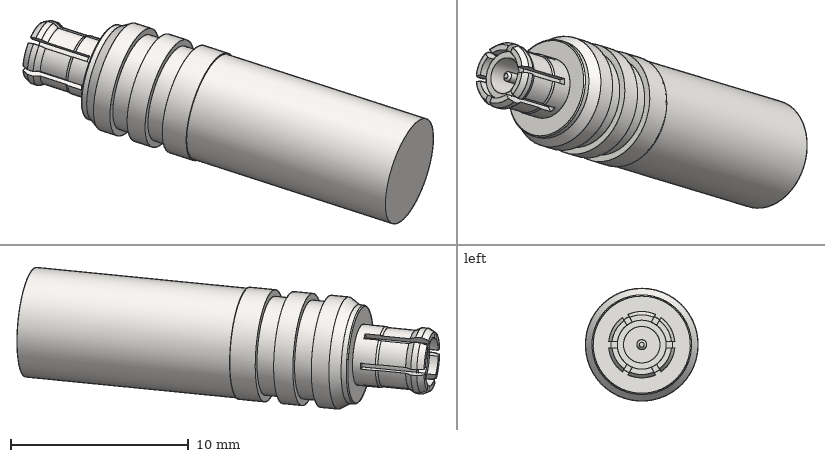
import cadquery as cq

LENGTH = 23.38
BODY_RADIUS = 3.18

COLLAR_START = 4.15
COLLAR_EDGE_CHAMFER = 0.07
COLLAR_RADIUS = 2.8
CONE_START = 4.54
CONE_END = 5.15
BODY_END = 10.95
GROOVE_WIDTH = 1.08
GROOVE_STARTS = (6.17, 8.37)
GROOVE_RADIUS = COLLAR_RADIUS

TIP_RADIUS = 1.68
BEAD_RADIUS = 1.87
BEAD_FLAT_START = 0.37
BEAD_FLAT_END = 0.72
BEAD_END = 1.08
NECK_RADIUS = 1.68
STEP_START = 2.7
STEP_END = 2.83
STEM_RADIUS = 1.73
NOSE_BORE_RADIUS = 1.38

SLOT_COUNT = 6
SLOT_WIDTH = 0.35
SLOT_LENGTH = 3.7

INSULATOR_START = 0.51
INSULATOR_END = COLLAR_START
INSULATOR_BORE_RADIUS = 1.03
INSULATOR_BORE_END = SLOT_LENGTH

PIN_RADIUS = 0.28
PIN_TIP_RADIUS = 0.15
PIN_START = 0.6
PIN_TAPER_LENGTH = 0.15
PIN_END = INSULATOR_END

FERRULE_RADIUS = 3.1


def turned(outline):
    """Revolve an (x, radius) outline about the X axis."""
    return cq.Workplane("XZ").polyline(outline).close().revolve(360, (0, 0, 0), (1, 0, 0))


def ring(start, end, inner_radius, outer_radius):
    """Ring around the X axis between two X positions; solid when the inner radius is 0."""
    return turned([
        (start, inner_radius),
        (start, outer_radius),
        (end, outer_radius),
        (end, inner_radius),
    ])


def make_body():
    body = turned([
        (0, 0),
        (0, TIP_RADIUS),
        (BEAD_FLAT_START, BEAD_RADIUS),
        (BEAD_FLAT_END, BEAD_RADIUS),
        (BEAD_END, NECK_RADIUS),
        (STEP_START, NECK_RADIUS),
        (STEP_END, STEM_RADIUS),
        (COLLAR_START, STEM_RADIUS),
        (COLLAR_START, COLLAR_RADIUS - COLLAR_EDGE_CHAMFER),
        (COLLAR_START + COLLAR_EDGE_CHAMFER, COLLAR_RADIUS),
        (CONE_START, COLLAR_RADIUS),
        (CONE_END, BODY_RADIUS),
        (BODY_END, BODY_RADIUS),
        (BODY_END, 0),
    ])
    for start in GROOVE_STARTS:
        end = start + GROOVE_WIDTH
        body = body.cut(ring(start, end, GROOVE_RADIUS, BODY_RADIUS))
    body = body.cut(ring(0, INSULATOR_END, 0, NOSE_BORE_RADIUS))

    slot_pair = cq.Workplane("XY").box(
        SLOT_LENGTH, 2 * BODY_RADIUS, SLOT_WIDTH, centered=(False, True, True)
    )
    for index in range(SLOT_COUNT // 2):
        angle = index * 360 / SLOT_COUNT
        body = body.cut(slot_pair.rotate((0, 0, 0), (1, 0, 0), angle))
    return body


def make_insulator():
    return turned([
        (INSULATOR_START, INSULATOR_BORE_RADIUS),
        (INSULATOR_START, NOSE_BORE_RADIUS),
        (INSULATOR_END, NOSE_BORE_RADIUS),
        (INSULATOR_END, PIN_RADIUS),
        (INSULATOR_BORE_END, PIN_RADIUS),
        (INSULATOR_BORE_END, INSULATOR_BORE_RADIUS),
    ])


def make_pin():
    return turned([
        (PIN_START, 0),
        (PIN_START, PIN_TIP_RADIUS),
        (PIN_START + PIN_TAPER_LENGTH, PIN_RADIUS),
        (PIN_END, PIN_RADIUS),
        (PIN_END, 0),
    ])


def make_ferrule():
    return ring(BODY_END, LENGTH, 0, FERRULE_RADIUS)


body = make_body()
insulator = make_insulator()
pin = make_pin()
ferrule = make_ferrule()

result = cq.Compound.makeCompound([body.val(), insulator.val(), pin.val(), ferrule.val()])